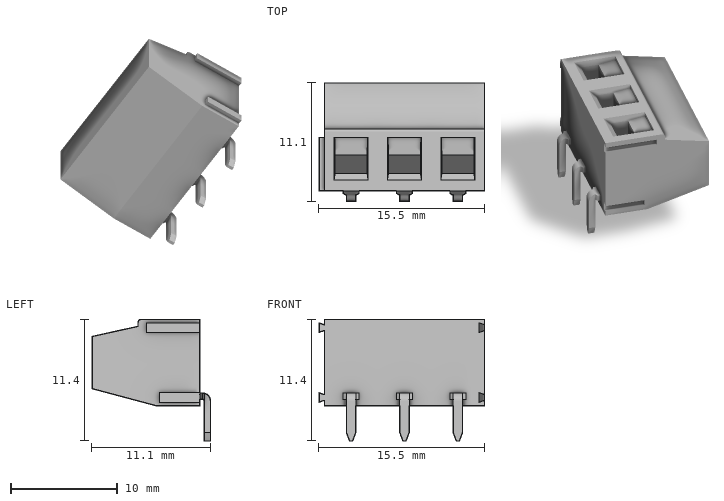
import cadquery as cq
import math

pole_count = 3
pole_pitch = 5.0
body_length = pole_count * pole_pitch
body_depth = 10.1
body_height = 8.1

top_land_depth = 5.8
step_edge_height = 7.45
step_edge_radius = 0.3
rear_top_height = 6.5
rear_bottom_height = 1.6
bottom_land_depth = 4.1

rail_height = 0.5
rail_root_width = 0.54
rail_tip_width = 0.9
upper_rail_z = 7.32
upper_rail_length = 5.0
lower_rail_z = 0.78
lower_rail_length = 3.8

opening_width = 3.2
opening_front_y = 1.0
opening_rear_y = 5.0
throat_width = 3.0
throat_front_y = 1.63
throat_rear_y = 3.35
throat_top_depth = 0.6
ledge_rear_depth = 0.4
throat_bottom_depth = 4.0

pin_width = 0.9
pin_thickness = 0.6
pin_root_width = 1.5
pin_root_top_z = 1.2
pin_bend_inner_radius = 0.15
pin_bend_start = 0.25
pin_shoulder_length = 0.175
pin_embed = 0.5
pin_bottom_z = -3.3
pin_tip_start_z = -2.5
pin_tip_width = 0.3
pin_root_bottom_z = pin_root_top_z - pin_thickness
leg_inner_y = -pin_bend_start - pin_bend_inner_radius
leg_outer_y = leg_inner_y - pin_thickness


def make_housing():
    """Extrude the side profile along X and round the edge above the rear step."""
    outline = [
        (0, 0),
        (bottom_land_depth, 0),
        (body_depth, rear_bottom_height),
        (body_depth, rear_top_height),
        (top_land_depth, step_edge_height),
        (top_land_depth, body_height),
        (0, body_height),
    ]
    housing = cq.Workplane("YZ").polyline(outline).close().extrude(body_length)
    step_edge = cq.selectors.NearestToPointSelector((body_length / 2, top_land_depth, body_height))
    return housing.edges(step_edge).fillet(step_edge_radius)


def make_dovetail(root_x, center_z, length):
    """Dovetail bar that widens from its root toward -X and runs back from the front face."""
    root_half = rail_root_width / 2
    tip_half = rail_tip_width / 2
    outline = [
        (root_x, center_z - root_half),
        (root_x, center_z + root_half),
        (root_x - rail_height, center_z + tip_half),
        (root_x - rail_height, center_z - tip_half),
    ]
    return cq.Workplane("XZ").polyline(outline).close().extrude(-length)


def make_opening(center_x):
    """Tapered mouth with a sloping rear ledge, leading into a straight throat."""
    throat_top_z = body_height - throat_top_depth
    mouth_depth = opening_rear_y - opening_front_y
    mouth_center_y = (opening_front_y + opening_rear_y) / 2
    lower_depth = opening_rear_y - throat_front_y
    lower_center_y = (throat_front_y + opening_rear_y) / 2
    mouth = (
        cq.Workplane("XY", origin=(center_x, 0, body_height))
        .center(0, mouth_center_y)
        .rect(opening_width, mouth_depth)
        .workplane(offset=-throat_top_depth)
        .center(0, lower_center_y - mouth_center_y)
        .rect(throat_width, lower_depth)
        .loft(ruled=True)
    )
    ledge_outline = [
        (throat_rear_y, throat_top_z),
        (opening_rear_y, throat_top_z),
        (opening_rear_y, body_height - ledge_rear_depth),
    ]
    ledge = (
        cq.Workplane("YZ", origin=(center_x, 0, 0))
        .polyline(ledge_outline)
        .close()
        .extrude(opening_width / 2, both=True)
    )
    throat = cq.Workplane("XY").box(
        throat_width,
        throat_rear_y - throat_front_y,
        throat_bottom_depth - throat_top_depth,
        centered=(True, False, False),
    )
    throat = throat.translate((center_x, throat_front_y, body_height - throat_bottom_depth))
    return mouth.cut(ledge).union(throat)


def make_pin_side(center_x):
    """Right-angle bend of constant thickness in the YZ plane, as wide as the pin root."""
    outer_radius = pin_bend_inner_radius + pin_thickness
    bend_y = -pin_bend_start
    bend_z = pin_root_top_z - outer_radius
    outer_mid = outer_radius * math.cos(math.pi / 4)
    inner_mid = pin_bend_inner_radius * math.cos(math.pi / 4)
    return (
        cq.Workplane("YZ", origin=(center_x, 0, 0))
        .moveTo(pin_embed, pin_root_top_z)
        .lineTo(bend_y, pin_root_top_z)
        .threePointArc((bend_y - outer_mid, bend_z + outer_mid), (leg_outer_y, bend_z))
        .lineTo(leg_outer_y, pin_bottom_z)
        .lineTo(leg_inner_y, pin_bottom_z)
        .lineTo(leg_inner_y, bend_z)
        .threePointArc((bend_y - inner_mid, bend_z + inner_mid), (bend_y, pin_root_bottom_z))
        .lineTo(pin_embed, pin_root_bottom_z)
        .close()
        .extrude(pin_root_width / 2, both=True)
    )


def make_pin_plan(center_x):
    """Outline in the XY plane: wide root with slanted shoulders down to the leg width."""
    root_half = pin_root_width / 2
    leg_half = pin_width / 2
    shoulder_end_y = -pin_bend_start - pin_shoulder_length
    outline = [
        (-root_half, pin_embed),
        (-root_half, -pin_bend_start),
        (-leg_half, shoulder_end_y),
        (-leg_half, leg_outer_y),
        (leg_half, leg_outer_y),
        (leg_half, shoulder_end_y),
        (root_half, -pin_bend_start),
        (root_half, pin_embed),
    ]
    plan = cq.Workplane("XY", origin=(center_x, 0, pin_bottom_z)).polyline(outline).close()
    return plan.extrude(pin_root_top_z - pin_bottom_z)


def make_pin_face(center_x):
    """Outline in the XZ plane: wide root above a narrow leg with a tapered tip."""
    root_half = pin_root_width / 2
    leg_half = pin_width / 2
    tip_half = pin_tip_width / 2
    outline = [
        (-tip_half, pin_bottom_z),
        (-leg_half, pin_tip_start_z),
        (-leg_half, pin_root_bottom_z),
        (-root_half, pin_root_bottom_z),
        (-root_half, pin_root_top_z),
        (root_half, pin_root_top_z),
        (root_half, pin_root_bottom_z),
        (leg_half, pin_root_bottom_z),
        (leg_half, pin_tip_start_z),
        (tip_half, pin_bottom_z),
    ]
    face = cq.Workplane("XZ", origin=(center_x, pin_embed, 0)).polyline(outline).close()
    return face.extrude(pin_embed - leg_outer_y)


def make_pin(center_x):
    """Bent flat pin: the common volume of its three outlines."""
    side = make_pin_side(center_x)
    return side.intersect(make_pin_plan(center_x)).intersect(make_pin_face(center_x))


result = make_housing()

for center_z, length in (
    (upper_rail_z, upper_rail_length),
    (lower_rail_z, lower_rail_length),
):
    result = result.union(make_dovetail(0, center_z, length))
    result = result.cut(make_dovetail(body_length, center_z, length))

for pole in range(pole_count):
    pole_x = (pole + 0.5) * pole_pitch
    result = result.cut(make_opening(pole_x))
    result = result.union(make_pin(pole_x))